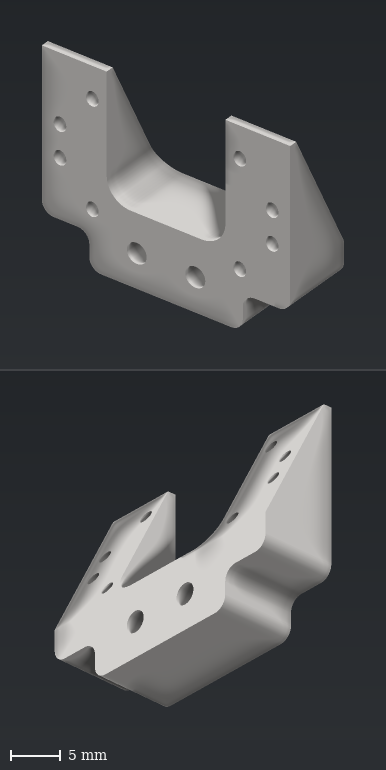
import cadquery as cq
import math

width = 31.4
depth = 9.0
height = 24.5

foot_width = 19.4
foot_height = 4.55
corner_radius = 1.5
slot_width = 15.0
slot_floor_z = 9.05
slot_radius = 3.0

slope_start_z = 8.57
top_thickness = 1.0
slope_angle = math.atan2(depth - top_thickness, height - slope_start_z)

mount_diameter = 2.5
mount_spacing = 7.4
mount_z = 4.25

small_diameter = 1.6
small_pattern_z = 13.95
inner_spacing_x = 18.65
inner_spacing_z = 13.2
outer_spacing_x = 26.8
outer_spacing_z = 4.02


def centred_box(box_width, bottom_z, top_z):
    """Full-depth box centred on X, between two heights."""
    return cq.Workplane("XY").box(
        box_width, depth, top_z - bottom_z, centered=(True, False, False)
    ).translate((0, 0, bottom_z))


def make_bracket():
    """U-shaped block on a narrower foot, with rounded corners."""
    upper = centred_box(width, foot_height, height)
    foot = centred_box(foot_width, 0, slot_floor_z)
    body = upper.union(foot)
    below_slot = cq.selectors.BoxSelector(
        (-width, -depth, -height), (width, 2 * depth, slot_floor_z)
    )
    body = body.edges("|Y").edges(below_slot).fillet(corner_radius)
    slot = centred_box(slot_width, slot_floor_z, 2 * height)
    return body.cut(slot.edges("|Y and <Z").fillet(slot_radius))


def make_slope_wedge():
    """Material removed behind the sloping back face."""
    return (
        cq.Workplane("YZ")
        .polyline([(depth, slope_start_z), (depth, height), (top_thickness, height)])
        .close()
        .extrude(width / 2, both=True)
    )


def make_mount_holes():
    return (
        cq.Workplane("XZ")
        .pushPoints([(-mount_spacing / 2, mount_z), (mount_spacing / 2, mount_z)])
        .circle(mount_diameter / 2)
        .extrude(-depth)
    )


def make_small_hole(x, z):
    """Through hole along the slope normal, crossing the front face at (x, z)."""
    normal = cq.Vector(0, math.cos(slope_angle), math.sin(slope_angle))
    start = cq.Vector(x, 0, z) - normal * depth
    return cq.Solid.makeCylinder(small_diameter / 2, 3 * depth, start, normal)


result = make_bracket().cut(make_slope_wedge()).cut(make_mount_holes())

for spacing_x, spacing_z in (
    (inner_spacing_x, inner_spacing_z),
    (outer_spacing_x, outer_spacing_z),
):
    for side in (-1, 1):
        for level in (-1, 1):
            hole_x = side * spacing_x / 2
            hole_z = small_pattern_z + level * spacing_z / 2
            result = result.cut(make_small_hole(hole_x, hole_z))